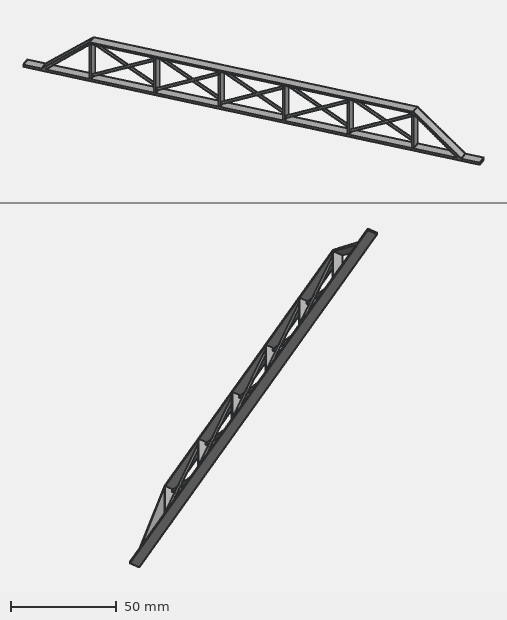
import cadquery as cq

length = 233.68
depth = 5.08
height = 21.51

bottom_chord_thickness = 1.27
bar_thickness = 1.016
rod_diameter = 1.27

top_length = 165.6
bay_count = 5
bay_pitch = 33.02
foot_inset = 9.4
strut_foot_width = 2.2
strut_end_height = 1.27
rod_end_inset = 1.27
rod_offset = 1.524

span = bay_count * bay_pitch
deck_z = bottom_chord_thickness
ceiling_z = height - bar_thickness
post_positions = [-span / 2 + i * bay_pitch for i in range(bay_count + 1)]


def flat_bar(center_x, bottom_z, size_x, size_z):
    """Rectangular bar over the full depth of the truss, standing on bottom_z."""
    bar = cq.Workplane("XY").box(size_x, depth, size_z, centered=(True, True, False))
    return bar.translate((center_x, 0, bottom_z))


def post(x):
    """Upright between the two chords."""
    return flat_bar(x, deck_z, bar_thickness, ceiling_z - deck_z)


def left_end_strut():
    """Sloping bar from the bottom chord up to the left end of the top chord."""
    foot_x = -length / 2 + foot_inset
    top_x = -top_length / 2
    outline = [
        (foot_x, deck_z),
        (top_x, height),
        (top_x, height - strut_end_height),
        (foot_x + strut_foot_width, deck_z),
    ]
    return cq.Workplane("XZ").polyline(outline).close().extrude(depth / 2, both=True)


def round_rod(start, end):
    """Round rod between two points on its axis."""
    axis = end - start
    return cq.Workplane(cq.Solid.makeCylinder(rod_diameter / 2, axis.Length, start, axis))


def cross_rods(left_x):
    """Crossed rods of one bay: the rising one in front, the falling one behind."""
    right_x = left_x + bay_pitch
    low_z = deck_z + rod_end_inset
    high_z = ceiling_z - rod_end_inset
    rising = round_rod(
        cq.Vector(left_x, -rod_offset, low_z),
        cq.Vector(right_x, -rod_offset, high_z),
    )
    falling = round_rod(
        cq.Vector(left_x, rod_offset, high_z),
        cq.Vector(right_x, rod_offset, low_z),
    )
    return [rising, falling]


result = flat_bar(0, 0, length, bottom_chord_thickness)
result = result.union(flat_bar(0, ceiling_z, top_length, bar_thickness))

for x in post_positions:
    result = result.union(post(x))

end_strut = left_end_strut()
result = result.union(end_strut).union(end_strut.mirror("YZ"))

for x in post_positions[:-1]:
    for rod in cross_rods(x):
        result = result.union(rod)